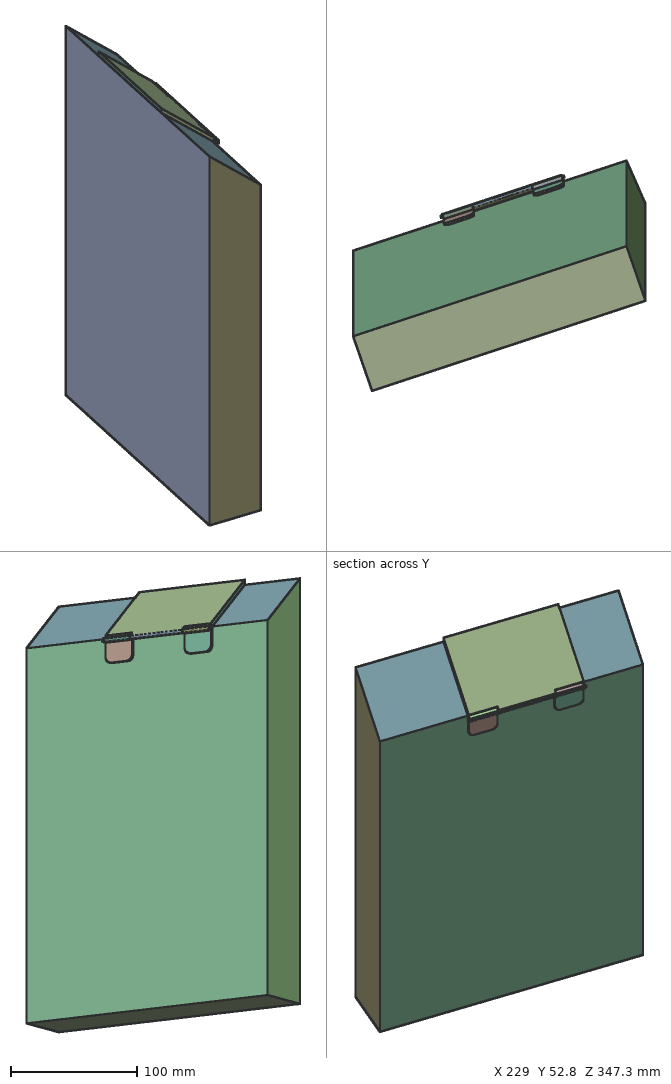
import cadquery as cq
import math

housing_width = 229.0
housing_depth = 47.0
front_height = 343.2
rear_height = 302.4

barrel_radius = 1.75
axis_offset = 4.04
bore_diameter = 2.0
pin_diameter = 1.75
pin_overhang = 1.5
lug_width = 25.0
lug_height = 20.0
lug_thickness = 2.0
lug_corner_radius = 5.0

lid_width = 100.0
lid_center_x = -12.0

slope = math.atan2(front_height - rear_height, housing_depth)
axis_y = housing_depth + axis_offset
axis_z = rear_height - barrel_radius
axis_above_slope = axis_offset * math.sin(slope) - barrel_radius * math.cos(slope)
lid_thickness = axis_above_slope + barrel_radius
lid_rise = lid_thickness / math.cos(slope)
tab_width = lid_width - 2 * lug_width


def extrude_along_x(outline, center_x, width):
    """Extrude a closed YZ outline by the width, centred on center_x."""
    return outline.extrude(width / 2, both=True).translate((center_x, 0, 0))


def axis_cylinder(radius, center_x, width):
    """A cylinder along the pin axis."""
    circle = cq.Workplane("YZ").center(axis_y, axis_z).circle(radius)
    return extrude_along_x(circle, center_x, width)


def make_housing():
    outline = (
        cq.Workplane("YZ")
        .polyline([(0, 0), (housing_depth, 0), (housing_depth, rear_height), (0, front_height)])
        .close()
    )
    return extrude_along_x(outline, 0, housing_width)


def make_lid():
    normal_y = math.sin(slope)
    normal_z = math.cos(slope)
    rear_top = (housing_depth + lid_thickness * normal_y, rear_height + lid_thickness * normal_z)
    plate_outline = (
        cq.Workplane("YZ")
        .polyline([(0, front_height), (housing_depth, rear_height), rear_top, (0, front_height + lid_rise)])
        .close()
    )
    plate = extrude_along_x(plate_outline, lid_center_x, lid_width)

    tab_length = axis_offset * math.cos(slope) + barrel_radius * math.sin(slope)
    tab = (
        cq.Workplane("XY")
        .box(tab_width, tab_length, 2 * barrel_radius, centered=(True, False, True))
        .translate((0, -tab_length, 0))
        .rotate((0, 0, 0), (1, 0, 0), -math.degrees(slope))
        .translate((lid_center_x, axis_y, axis_z))
    )
    barrel = axis_cylinder(barrel_radius, lid_center_x, tab_width)
    bore = axis_cylinder(bore_diameter / 2, lid_center_x, tab_width)
    return plate.union(tab).union(barrel).cut(bore)


def make_lug(center_x):
    plate = (
        cq.Workplane("XY")
        .box(lug_width, lug_thickness, lug_height, centered=(True, False, False))
        .edges("|Y and <Z")
        .fillet(lug_corner_radius)
        .translate((center_x, housing_depth, rear_height - lug_height))
    )
    arm = (
        cq.Workplane("XY")
        .box(lug_width, axis_offset, 2 * barrel_radius, centered=(True, False, True))
        .translate((center_x, housing_depth, axis_z))
    )
    barrel = axis_cylinder(barrel_radius, center_x, lug_width)
    bore = axis_cylinder(bore_diameter / 2, center_x, lug_width)
    return plate.union(arm).union(barrel).cut(bore)


def make_pin():
    return axis_cylinder(pin_diameter / 2, lid_center_x, lid_width + 2 * pin_overhang)


housing = make_housing()
lid = make_lid()
pin = make_pin()
lug_spacing = lid_width - lug_width
lugs = [make_lug(lid_center_x + side * lug_spacing / 2) for side in (-1, 1)]

result = cq.Compound.makeCompound(
    [housing.val(), lid.val(), pin.val(), *[lug.val() for lug in lugs]]
)